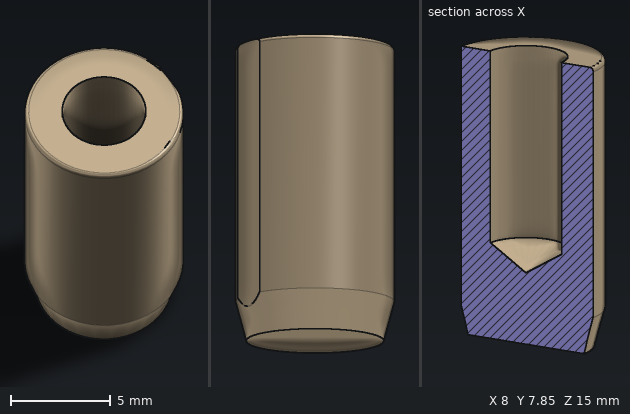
import cadquery as cq
import math

body_diameter = 8.0
body_length = 15.0
top_edge_radius = 0.2

taper_height = 2.0
taper_angle = 15.0

flat_distance = 3.85

hole_diameter = 4.2
hole_depth = 10.0
drill_point_angle = 118.0

body_radius = body_diameter / 2
hole_radius = hole_diameter / 2
tip_radius = body_radius - taper_height * math.tan(math.radians(taper_angle))


def revolve_about_z(half_profile):
    """Revolve a closed XZ half profile a full turn about the Z axis."""
    return half_profile.close().revolve(360, (0, 0, 0), (0, 1, 0))


def make_body():
    """Cylinder with a tapered lower end and a rounded top edge."""
    half_profile = (
        cq.Workplane("XZ")
        .lineTo(tip_radius, 0)
        .lineTo(body_radius, taper_height)
        .lineTo(body_radius, body_length)
        .lineTo(0, body_length)
    )
    return revolve_about_z(half_profile).faces(">Z").edges().fillet(top_edge_radius)


def make_hole():
    """Drilled hole volume: a cylinder ending in a conical drill point."""
    hole_floor = body_length - hole_depth
    point_height = hole_radius / math.tan(math.radians(drill_point_angle / 2))
    half_profile = (
        cq.Workplane("XZ")
        .moveTo(0, body_length)
        .lineTo(hole_radius, body_length)
        .lineTo(hole_radius, hole_floor)
        .lineTo(0, hole_floor - point_height)
    )
    return revolve_about_z(half_profile)


def make_flat_cutter():
    """Block whose -Y face is the plane of the flat."""
    return (
        cq.Workplane("XY")
        .box(body_diameter, body_diameter, body_length, centered=(True, False, False))
        .translate((0, flat_distance, 0))
    )


result = make_body().cut(make_hole()).cut(make_flat_cutter())